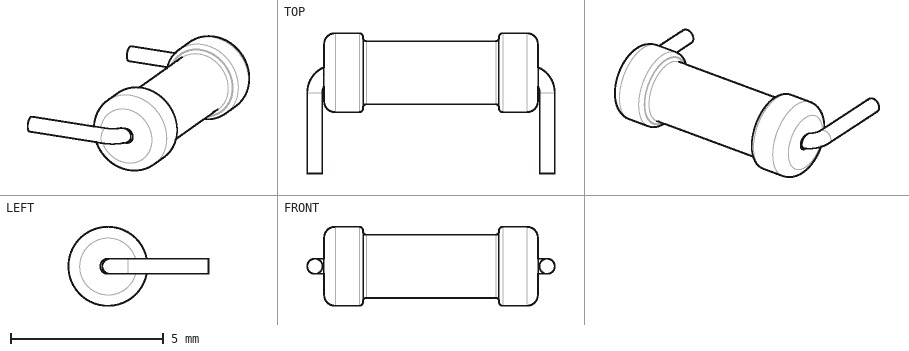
import cadquery as cq

overall_length = 8.12
lead_tip_y = -3.305

body_length = 7.015
cap_radius = 1.3
cap_length = 1.28
neck_radius = 1.04
cap_outer_round = 0.365
cap_inner_round = 0.13
neck_fillet = 0.1

lead_radius = 0.25
bend_radius = 0.65

body_end_x = body_length / 2
cap_inner_x = body_end_x - cap_length
neck_end_x = cap_inner_x - neck_fillet
lead_x = overall_length / 2 - lead_radius
bend_start_x = lead_x - bend_radius


def make_cap():
    """Rounded cap at the +X end, with the fillet that runs into the neck."""
    half_profile = (
        cq.Workplane("XY")
        .moveTo(neck_end_x, 0)
        .lineTo(neck_end_x, neck_radius)
        .radiusArc((cap_inner_x, neck_radius + neck_fillet), -neck_fillet)
        .lineTo(cap_inner_x, cap_radius - cap_inner_round)
        .radiusArc((cap_inner_x + cap_inner_round, cap_radius), cap_inner_round)
        .lineTo(body_end_x - cap_outer_round, cap_radius)
        .radiusArc((body_end_x, cap_radius - cap_outer_round), cap_outer_round)
        .lineTo(body_end_x, 0)
        .close()
    )
    axis_start = (0, 0, 0)
    axis_end = (1, 0, 0)
    return half_profile.revolve(360, axis_start, axis_end)


def make_body_blank():
    """One solid: a cylindrical neck with a cap at each end."""
    neck = cq.Workplane("YZ", origin=(-neck_end_x, 0, 0)).circle(neck_radius).extrude(2 * neck_end_x)
    cap = make_cap()
    return neck.union(cap).union(cap.mirror("YZ"))


def make_lead(side):
    """Bent wire at the +X end (side = 1) or the -X end (side = -1)."""
    wire_path = (
        cq.Workplane("XY")
        .moveTo(lead_x, lead_tip_y)
        .lineTo(lead_x, -bend_radius)
        .radiusArc((bend_start_x, 0), -bend_radius)
    )
    wire = (
        cq.Workplane("XZ", origin=(lead_x, lead_tip_y, 0))
        .circle(lead_radius)
        .sweep(wire_path)
    )
    plug = (
        cq.Workplane("YZ", origin=(bend_start_x, 0, 0))
        .circle(lead_radius)
        .extrude(body_end_x - bend_start_x)
    )
    lead = wire.union(plug)
    return lead if side > 0 else lead.mirror("YZ")


leads = [make_lead(side) for side in (-1, 1)]

body = make_body_blank()
for lead in leads:
    body = body.cut(lead)

result = cq.Compound.makeCompound([body.solids().val(), *[lead.solids().val() for lead in leads]])